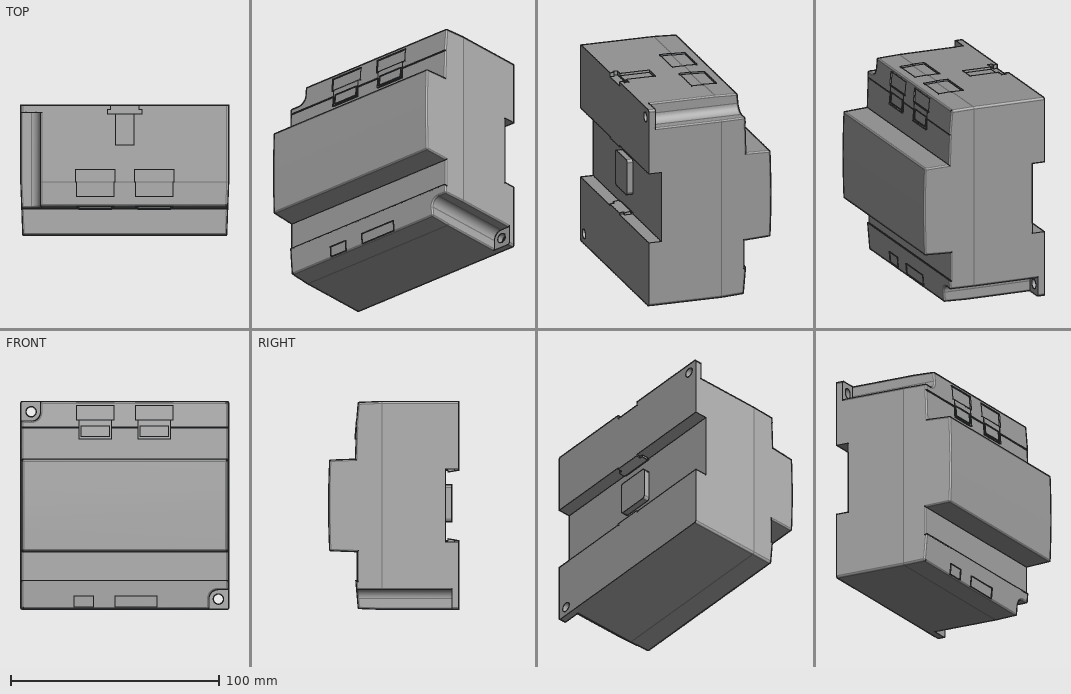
import cadquery as cq
import math

SIDE = 100.0
DEPTH = 62.7
BASE_DEPTH = 37.0
DRAFT = 2.2
EDGE_RADIUS = 1.0
RIM_RADIUS = 0.7
HALF = SIDE / 2
SKIN = 2.0
CLEARANCE = 1.0
FRONT_START = 42.0

RIM_DEPTH = 48.4
RIM_SLOPE = 0.087
UPPER_CREASE_Z = 37.6
UPPER_SHELF_Z = 37.2
UPPER_SHELF_DEPTH = 49.3
LOWER_CREASE_Z = -36.0
LOWER_SHELF_DEPTH = 48.9
PANEL_HALF = 22.3
PANEL_ROOT_DEPTH = 49.8
PANEL_EDGE_DEPTH = 62.2

NOTCH_SIZE = 9.5
NOTCH_RADIUS = 4.3
FLANGE_THICKNESS = 3.4
SCREW_INSET = 5.0
SCREW_DIAMETER = 4.8

GROOVE_HALF = 17.6
GROOVE_DEPTH = 6.4
CLIP_HALF_WIDTH = 8.4
CLIP_NECK_HALF = 6.8
CLIP_NECK_DEPTH = 2.1
CLIP_SLOT_DEPTH = 4.3
CLIP_RECESS = 2.0
PRY_POCKET_WIDTH = 9.0
PRY_POCKET_END = 19.2
PRY_POCKET_RECESS = 1.2
LIP_ROOT_DROP = 0.7
LIP_TIP_DROP = 1.6
LIP_TIP_DEPTH = 5.3
RIB_TOP_Z = 10.0
RIB_BOTTOM_Z = -7.9
RIB_BACK = 3.4
RIB_CORNER = 1.3

TERMINAL_X = (-14.2, 14.2)
WINDOW_WIDTH = 18.8
WINDOW_FRONT_WIDTH = 18.0
WINDOW_START = 31.0
WINDOW_END = 43.8
WINDOW_RECESS = 0.8
FLAP_WIDTH = 18.1
FLAP_TOP_Z = 47.9
FLAP_BOTTOM_Z = 41.0
FLAP_RECESS = 0.7
PLATE_WIDTH = 15.6
PLATE_BOTTOM_Z = 32.0
PLATE_RISE = 0.1
PLATE_BACKING = 2.0
LABEL_WIDTH = 13.6
LABEL_TOP_Z = 38.1
LABEL_BOTTOM_Z = 33.0
LABEL_RECESS = 0.4
LOWER_LABELS_X = ((-24.5, -14.9), (-4.6, 15.6))
LOWER_LABEL_TOP_Z = -43.5
LOWER_LABEL_BOTTOM_Z = -48.8


def box(x, depth, z):
    """Box from (low, high) ranges; depth runs from the back face toward the front."""
    size = (x[1] - x[0], depth[1] - depth[0], z[1] - z[0])
    corner = (x[0], -depth[1], z[0])
    return cq.Workplane("XY").box(*size, centered=False).translate(corner)


def centred(middle, width):
    """Range of the given width around a middle value."""
    return (middle - width / 2, middle + width / 2)


def side_prism(points, x):
    """Prism along X over the range x from a closed (depth, z) outline."""
    outline = [(-depth, z) for depth, z in points]
    prism = cq.Workplane("YZ").polyline(outline).close().extrude(x[1] - x[0])
    return prism.translate((x[0], 0, 0))


def rim_face(z):
    """Depth of the sloping rim face at height z."""
    return RIM_DEPTH + RIM_SLOPE * (HALF - abs(z))


def rim_layer(x, z, below, above=0.0):
    """Slab following the rim face, from 'below' under it to 'above' over it."""
    bottom, top = z
    points = [
        (rim_face(bottom) - below, bottom),
        (rim_face(bottom) + above, bottom),
        (rim_face(top) + above, top),
        (rim_face(top) - below, top),
    ]
    return side_prism(points, x)


def drafted_front():
    """Full-height tapered block in front of the parting line, with rounded corners."""
    length = DEPTH - BASE_DEPTH
    end_side = SIDE - 2 * length * math.tan(math.radians(DRAFT))
    root = cq.Sketch().rect(SIDE, SIDE).vertices().fillet(EDGE_RADIUS)
    end = cq.Sketch().rect(end_side, end_side).vertices().fillet(EDGE_RADIUS)
    plane = cq.Workplane("XZ", origin=(0, -BASE_DEPTH, 0))
    return plane.placeSketch(root, end.moved(cq.Location(cq.Vector(0, 0, length)))).loft()


def make_housing():
    """Straight rear half joined to the drafted front, which is trimmed to the stepped outline."""
    base = cq.Workplane("XZ").rect(SIDE, SIDE).extrude(BASE_DEPTH).edges("|Y").fillet(EDGE_RADIUS)
    drafted = drafted_front()
    panel_draft = (PANEL_EDGE_DEPTH - PANEL_ROOT_DEPTH) * math.tan(math.radians(DRAFT))
    panel_edge_half = PANEL_HALF - panel_draft
    front_outline = (
        cq.Workplane("YZ", origin=(-HALF, 0, 0))
        .moveTo(-BASE_DEPTH, HALF)
        .lineTo(-RIM_DEPTH, HALF)
        .lineTo(-rim_face(UPPER_CREASE_Z), UPPER_CREASE_Z)
        .lineTo(-UPPER_SHELF_DEPTH, UPPER_SHELF_Z)
        .lineTo(-PANEL_ROOT_DEPTH, PANEL_HALF)
        .lineTo(-PANEL_EDGE_DEPTH, panel_edge_half)
        .threePointArc((-DEPTH, 0), (-PANEL_EDGE_DEPTH, -panel_edge_half))
        .lineTo(-LOWER_SHELF_DEPTH, -PANEL_HALF)
        .lineTo(-LOWER_SHELF_DEPTH, LOWER_CREASE_Z)
        .lineTo(-rim_face(LOWER_CREASE_Z), LOWER_CREASE_Z)
        .lineTo(-RIM_DEPTH, -HALF)
        .lineTo(-BASE_DEPTH, -HALF)
        .close()
        .extrude(SIDE)
    )
    return base.union(drafted.intersect(front_outline))


def is_front_rim(edge):
    """True for the outer edges of the front faces: both ends, top, bottom and panel edges."""
    bounds = edge.BoundingBox()
    if -bounds.ymax < FRONT_START:
        return False
    end_edge = bounds.xlen < RIM_RADIUS and abs(bounds.center.x) > HALF - SKIN
    outermost = abs(bounds.center.z) > HALF - SKIN or -bounds.ymax > PANEL_EDGE_DEPTH - SKIN
    full_width_edge = bounds.xlen > SIDE - 2 * NOTCH_SIZE
    return end_edge or (full_width_edge and outermost)


def is_notch_edge(edge):
    """True for the front rim of a notch and for its two long edges on the outer sides."""
    bounds = edge.BoundingBox()
    x, z = abs(bounds.center.x), abs(bounds.center.z)
    wall = HALF - NOTCH_SIZE
    in_notch_corner = bounds.center.x * bounds.center.z < 0 and min(x, z) > wall - SKIN
    lengthwise = bounds.ylen > max(bounds.xlen, bounds.zlen)
    long_edge = lengthwise and min(x, z) < wall + SKIN and max(x, z) > HALF - SKIN
    front_edge = -bounds.ymax > FRONT_START and x + z < wall + HALF
    past_flange = -bounds.ymax > FLANGE_THICKNESS / 2
    return in_notch_corner and past_flange and (long_edge or front_edge)


def notch():
    """Cutter for the top left corner: rounded notch and screw hole."""
    wall = HALF - NOTCH_SIZE
    outside = HALF + CLEARANCE
    inside_round = wall + NOTCH_RADIUS
    cutter = (
        cq.Workplane("XZ", origin=(0, -FLANGE_THICKNESS, 0))
        .moveTo(-outside, outside)
        .lineTo(-wall, outside)
        .lineTo(-wall, inside_round)
        .radiusArc((-inside_round, wall), NOTCH_RADIUS)
        .lineTo(-outside, wall)
        .close()
        .extrude(DEPTH)
    )
    screw_offset = HALF - SCREW_INSET
    screw_hole = (
        cq.Workplane("XZ")
        .center(-screw_offset, screw_offset)
        .circle(SCREW_DIAMETER / 2)
        .extrude(DEPTH)
    )
    return cutter.union(screw_hole)


def clip_recess():
    """T-shaped opening on the top face with the shallow pry pocket in front of it."""
    neck_width = 2 * CLIP_NECK_HALF
    clip_width = 2 * CLIP_HALF_WIDTH
    floor = (HALF - CLIP_RECESS, HALF)
    neck = box(centred(0, neck_width), (0, CLIP_NECK_DEPTH), floor)
    head = box(centred(0, clip_width), (CLIP_NECK_DEPTH, CLIP_SLOT_DEPTH), floor)
    pocket = box(
        centred(0, PRY_POCKET_WIDTH),
        (CLIP_SLOT_DEPTH, PRY_POCKET_END),
        (HALF - PRY_POCKET_RECESS, HALF),
    )
    return neck.union(head).union(pocket)


def clip_lip():
    """Hooked lip of the clip hanging from the upper wall of the rail groove."""
    root = GROOVE_HALF - LIP_ROOT_DROP
    points = [
        (0, GROOVE_HALF),
        (0, root),
        (LIP_TIP_DEPTH, GROOVE_HALF - LIP_TIP_DROP),
        (LIP_TIP_DEPTH, root),
        (GROOVE_DEPTH, root),
        (GROOVE_DEPTH, GROOVE_HALF),
    ]
    lip = side_prism(points, centred(0, 2 * CLIP_HALF_WIDTH))
    for side in (-1, 1):
        shoulder = sorted((side * CLIP_NECK_HALF, side * CLIP_HALF_WIDTH))
        lip = lip.cut(box(shoulder, (0, CLIP_NECK_DEPTH), (0, GROOVE_HALF)))
    return lip


def groove_rib():
    """Rounded block standing on the floor of the rail groove."""
    rib = box(
        centred(0, 2 * CLIP_HALF_WIDTH),
        (RIB_BACK, GROOVE_DEPTH),
        (RIB_BOTTOM_Z, RIB_TOP_Z),
    )
    return rib.edges("|Y").fillet(RIB_CORNER)


def add_terminal(body, x):
    """Window in the top face, then flap recess and label plate on the upper rim face."""
    window_floor = (HALF - WINDOW_RECESS, HALF)
    body = body.cut(box(centred(x, WINDOW_WIDTH), (WINDOW_START, BASE_DEPTH), window_floor))
    drop = (WINDOW_END - BASE_DEPTH) * math.tan(math.radians(DRAFT))
    front_floor = [
        (BASE_DEPTH, HALF),
        (BASE_DEPTH, HALF - WINDOW_RECESS),
        (WINDOW_END, HALF - WINDOW_RECESS - drop),
        (WINDOW_END, HALF),
    ]
    body = body.cut(side_prism(front_floor, centred(x, WINDOW_FRONT_WIDTH)))

    flap_z = (FLAP_BOTTOM_Z, FLAP_TOP_Z)
    body = body.cut(rim_layer(centred(x, FLAP_WIDTH), flap_z, FLAP_RECESS, above=CLEARANCE))

    plate_z = (PLATE_BOTTOM_Z, FLAP_BOTTOM_Z)
    plate = rim_layer(centred(x, PLATE_WIDTH), plate_z, PLATE_BACKING, PLATE_RISE)
    body = body.union(plate)

    label_z = (LABEL_BOTTOM_Z, LABEL_TOP_Z)
    return body.cut(rim_layer(centred(x, LABEL_WIDTH), label_z, LABEL_RECESS, above=CLEARANCE))


housing = make_housing()
for turn in (0, 180):
    housing = housing.cut(notch().rotate((0, 0, 0), (0, 1, 0), turn))
soft_edges = [edge for edge in housing.edges().vals() if is_front_rim(edge) or is_notch_edge(edge)]
housing = housing.newObject(soft_edges).fillet(RIM_RADIUS)

housing = housing.cut(box((-HALF, HALF), (0, GROOVE_DEPTH), (-GROOVE_HALF, GROOVE_HALF)))
housing = housing.union(groove_rib())
housing = housing.union(clip_lip()).union(clip_lip().mirror("XY"))
housing = housing.cut(clip_recess())

for terminal_x in TERMINAL_X:
    housing = add_terminal(housing, terminal_x)

lower_label_z = (LOWER_LABEL_BOTTOM_Z, LOWER_LABEL_TOP_Z)
for label_x in LOWER_LABELS_X:
    housing = housing.cut(rim_layer(label_x, lower_label_z, LABEL_RECESS, above=CLEARANCE))

result = housing